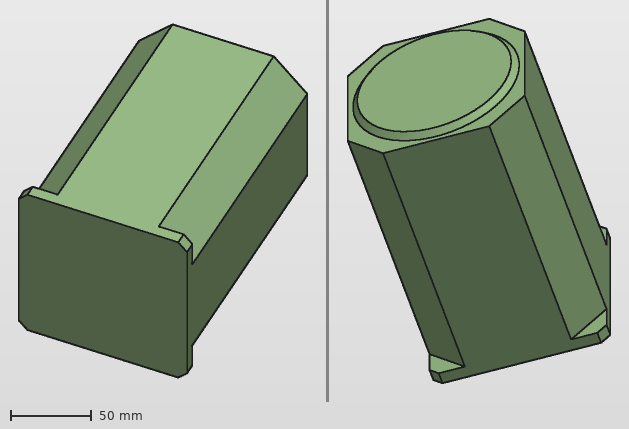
import cadquery as cq

width = 115.0

flange_thickness = 8.0
body_length = 170.0
cap_height = 4.0

flange_bevel = 6.0
body_bevel = 23.0

cap_base_diameter = 108.0
cap_top_diameter = cap_base_diameter - 2 * cap_height

front_y = 0.0
body_start_y = front_y + flange_thickness
cap_start_y = body_start_y + body_length


def bevelled_block(start_y, length, bevel):
    """Square block along +Y from start_y, with its four long edges bevelled."""
    block = cq.Workplane("XY").box(width, length, width)
    bevelled = block.edges("|Y").chamfer(bevel)
    return bevelled.translate((0, start_y + length / 2, 0))


def tapered_cap():
    """Shallow cone frustum on the back face, narrowing towards +Y."""
    cone = cq.Solid.makeCone(
        cap_base_diameter / 2,
        cap_top_diameter / 2,
        cap_height,
        pnt=cq.Vector(0, cap_start_y, 0),
        dir=cq.Vector(0, 1, 0),
    )
    return cq.Workplane(cone)


flange = bevelled_block(front_y, flange_thickness, flange_bevel)
body = bevelled_block(body_start_y, body_length, body_bevel)

result = flange.union(body).union(tapered_cap())